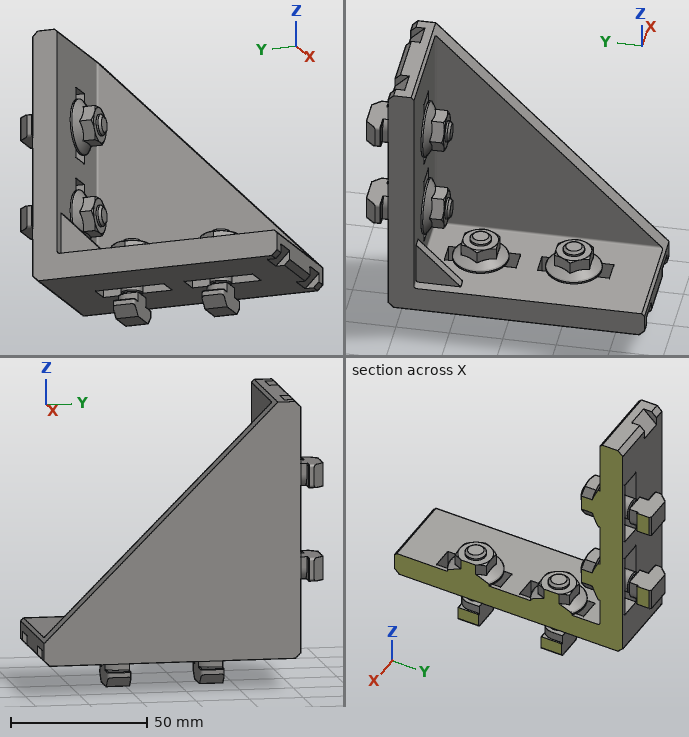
import cadquery as cq
import math


overall = 107.7
head_reach = 11.7
leg_length = overall - head_reach
width = 48.0
leg_thickness = 9.7
outer_chamfer = 2.0
inner_chamfer = 1.1
wall_thickness = 6.2
inner_fillet = 0.9

notch_depth = 5.4
notch_width = 9.0
notch_offset = 15.3

rib_leg = 16.7
rib_thickness = 3.8
rib_inset = 4.1

slot_length = 26.9
slot_width = 8.6
bolt_places = (30.0, 64.9)
slot_shift = 0.6

shank_diameter = 8.0
shank_end = 19.2
shank_end_chamfer = 1.0
thread_start = -0.9
neck_diameter = 7.1
shoulder_top = -2.4
shoulder_radius = 5.2
head_top = -5.7
head_slope_top = -7.8
head_length = 17.8
head_width = 8.7
head_corner_radius = 1.1
head_edge_chamfer = 0.3

nut_flats = 13.1
nut_height = 7.8
flange_diameter = 20.9
flange_rim = 0.6
flange_bevel = 0.4
flange_angle = 32.0
nut_chamfer_angle = 30.0

half_width = width / 2
wall_face = half_width - wall_thickness


def along_x(points, x_start, x_end):
    """Extrude an outline of (y, z) points from x_start to x_end."""
    outline = cq.Workplane("YZ").workplane(offset=x_start).polyline(points).close()
    return outline.extrude(x_end - x_start)


def box(x_start, x_end, y_start, y_end, z_start, z_end):
    """Box between the given limits along each axis."""
    size = (x_end - x_start, y_end - y_start, z_end - z_start)
    return cq.Workplane("XY").box(*size, centered=False).translate((x_start, y_start, z_start))


def turned(points):
    """Revolve an outline of (radius, z) points about the Z axis."""
    return cq.Workplane("XZ").polyline(points).close().revolve(360, (0, 0), (0, 1))


def make_body():
    """Triangular block hollowed from the open side, leaving two legs and the wall."""
    slope_start = leg_thickness - inner_chamfer
    block = along_x(
        [
            (-outer_chamfer, 0),
            (-leg_length + outer_chamfer, 0),
            (-leg_length, outer_chamfer),
            (-leg_length, slope_start),
            (-slope_start, leg_length),
            (-outer_chamfer, leg_length),
            (0, leg_length - outer_chamfer),
            (0, outer_chamfer),
        ],
        -half_width,
        half_width,
    )
    hollow = box(-width, wall_face, -overall, -leg_thickness, leg_thickness, overall)
    inner_edges = hollow.edges("(>X and >Y) or (>X and <Z) or (>Y and <Z)")
    return block.cut(inner_edges.fillet(inner_fillet))


def cut_notches(body):
    """Cut deep 45 degree notches across the outer edge at both leg ends."""
    lower = [(-leg_length, 0), (-leg_length + notch_depth, 0), (-leg_length, notch_depth)]
    upper = [(-z, -y) for y, z in lower]
    for side in (-1, 1):
        x_start = side * notch_offset - notch_width / 2
        for points in (lower, upper):
            body = body.cut(along_x(points, x_start, x_start + notch_width))
    return body


def cut_slots(body):
    """Cut one square-ended slot through the leg at each bolt."""
    half_slot = slot_width / 2
    for place in bolt_places:
        near = place + slot_shift - slot_length / 2
        far = near + slot_length
        body = body.cut(box(-half_slot, half_slot, -far, -near, 0, leg_thickness))
        body = body.cut(box(-half_slot, half_slot, -leg_thickness, 0, near, far))
    return body


def make_rib():
    """Small triangular rib between the two legs, near the open side."""
    tip = leg_thickness + rib_leg
    x_start = -half_width + rib_inset
    points = [
        (-leg_thickness, leg_thickness),
        (-tip, leg_thickness),
        (-leg_thickness, tip),
    ]
    return along_x(points, x_start, x_start + rib_thickness)


def make_bolt():
    """T-head bolt on the Z axis, head down, with Z = 0 on the outer face of the leg."""
    shank_radius = shank_diameter / 2
    neck_radius = neck_diameter / 2
    neck_taper = shank_radius - neck_radius
    shank = turned(
        [
            (0, shoulder_top),
            (neck_radius, shoulder_top),
            (neck_radius, thread_start - neck_taper),
            (shank_radius, thread_start),
            (shank_radius, shank_end - shank_end_chamfer),
            (shank_radius - shank_end_chamfer, shank_end),
            (0, shank_end),
        ]
    )

    half_head = head_width / 2
    flat_end = math.sqrt(shoulder_radius**2 - half_head**2)
    middle_x = shoulder_radius * math.cos(math.asin(half_head / shoulder_radius) / 2)
    middle_y = math.sqrt(shoulder_radius**2 - middle_x**2)
    shoulder = (
        cq.Workplane("XY")
        .workplane(offset=head_slope_top)
        .moveTo(-shoulder_radius, -half_head)
        .lineTo(flat_end, -half_head)
        .threePointArc((middle_x, -middle_y), (shoulder_radius, 0))
        .lineTo(shoulder_radius, half_head)
        .lineTo(-flat_end, half_head)
        .threePointArc((-middle_x, middle_y), (-shoulder_radius, 0))
        .close()
        .extrude(shoulder_top - head_slope_top)
    )

    half_length = head_length / 2
    head = (
        cq.Workplane("XY")
        .workplane(offset=-head_reach)
        .rect(head_length, head_width)
        .extrude(head_reach + head_top)
        .edges("|Z")
        .fillet(head_corner_radius)
        .faces(">Z")
        .chamfer(head_edge_chamfer)
    )
    wedge = (
        cq.Workplane("XZ")
        .polyline(
            [
                (-shoulder_radius, -head_reach),
                (shoulder_radius, -head_reach),
                (half_length, head_slope_top),
                (half_length, head_top),
                (-half_length, head_top),
                (-half_length, head_slope_top),
            ]
        )
        .close()
        .extrude(half_head, both=True)
    )
    return shank.union(shoulder).union(head.intersect(wedge))


def make_nut():
    """Hexagon nut with a conical flange, seated on the inner face of the leg."""
    flange_radius = flange_diameter / 2
    corner_radius = nut_flats / math.sqrt(3)
    flat_radius = nut_flats / 2
    shank_radius = shank_diameter / 2
    cone_radius = flange_radius - flange_bevel
    cone_base = flange_rim + flange_bevel
    cone_top = cone_base + (cone_radius - shank_radius) * math.tan(math.radians(flange_angle))
    corner_drop = (corner_radius - flat_radius) * math.tan(math.radians(nut_chamfer_angle))
    flange = turned(
        [
            (0, 0),
            (flange_radius, 0),
            (flange_radius, flange_rim),
            (cone_radius, cone_base),
            (shank_radius, cone_top),
            (0, cone_top),
        ]
    )
    hexagon = cq.Workplane("XY").polygon(6, 2 * corner_radius).extrude(nut_height)
    envelope = turned(
        [
            (0, 0),
            (corner_radius, 0),
            (corner_radius, nut_height - corner_drop),
            (flat_radius, nut_height),
            (0, nut_height),
        ]
    )
    return flange.union(hexagon.intersect(envelope)).translate((0, 0, leg_thickness))


def add_fasteners(body):
    """Fit a bolt and nut at every place on both legs."""
    fastener = make_bolt().union(make_nut())
    upright = fastener.rotate((0, 0, 0), (1, 0, 0), 90)
    for place in bolt_places:
        body = body.union(fastener.translate((0, -place, 0)))
        body = body.union(upright.translate((0, 0, place)))
    return body


bracket = cut_slots(cut_notches(make_body())).union(make_rib())
result = add_fasteners(bracket)